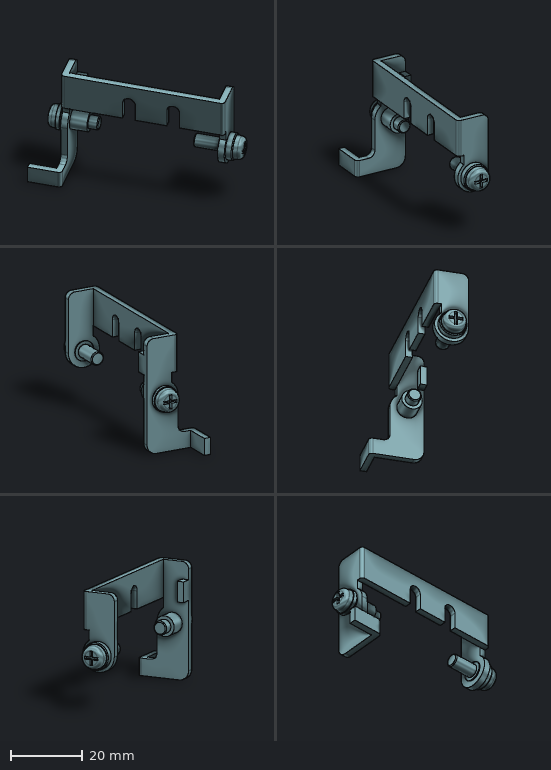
import cadquery as cq
import math


thickness = 2.0
bend_radius = 1.0
bracket_width = 48.0
bracket_depth = 10.0
bar_height = 11.1
left_plate_height = 34.4
top_corner_radius = 2.0
bottom_corner_radius = 3.0

foot_height = 5.1
foot_reach = 8.0
foot_front_y = -6.0
foot_blend_radius = 2.0

tab_length = 3.1
tab_height = 6.0

slot_width = 3.7
slot_top_z = -4.0
slot_centers_x = (20.0, 33.0)

axis_y = bracket_depth / 2
axis_z = -18.0
boss_radius = bracket_depth / 2
notch_depth = 2.0
thread_diameter = 4.0
thread_chamfer = 0.3
left_tip_x = 10.0
right_tip_x = 38.0
head_gap = 2.0
head_length = 2.6
head_rim_length = 1.3
head_seat_diameter = 7.1
head_rim_diameter = 6.8
head_flat_diameter = 4.1
dome_bulge = 0.7
recess_width = 0.8
recess_depth = 1.2

collar_diameter = 6.0
left_washer_diameter = 7.6
left_washer_thickness = 1.15
left_collar_end_x = 7.1
right_washer_diameter = 8.0
right_washer_chamfer = 0.3
right_collar_overhang = 0.3
right_collar_end_x = bracket_width - thickness - right_collar_overhang


def box(x0, x1, y0, y1, z0, z1):
    return cq.Workplane("XY").box(x1 - x0, y1 - y0, z1 - z0, centered=False).translate((x0, y0, z0))


def rod(x0, x1, diameter):
    """Cylinder on the screw axis between two X positions."""
    plane = cq.Workplane("YZ", origin=(x0, axis_y, axis_z))
    return plane.circle(diameter / 2).extrude(x1 - x0)


def side_plate_front():
    """Outline in Y and Z shared by both side plates, from the rear top to the boss."""
    notch_end_z = axis_z + math.sqrt(boss_radius**2 - (axis_y - notch_depth) ** 2)
    mid_angle = math.pi - math.atan2(notch_end_z - axis_z, axis_y - notch_depth) / 2
    arc_mid = (
        axis_y + boss_radius * math.cos(mid_angle),
        axis_z + boss_radius * math.sin(mid_angle),
    )
    return (
        cq.Workplane("YZ")
        .moveTo(bracket_depth, -top_corner_radius)
        .radiusArc((bracket_depth - top_corner_radius, 0), -top_corner_radius)
        .lineTo(0, 0)
        .lineTo(0, -bar_height)
        .lineTo(notch_depth, -bar_height)
        .lineTo(notch_depth, notch_end_z)
        .threePointArc(arc_mid, (0, axis_z))
    )


def left_plate():
    foot_top_z = foot_height - left_plate_height
    plate = (
        side_plate_front()
        .lineTo(0, foot_top_z + foot_blend_radius)
        .radiusArc((-foot_blend_radius, foot_top_z), foot_blend_radius)
        .lineTo(foot_front_y, foot_top_z)
        .lineTo(foot_front_y, -left_plate_height)
        .lineTo(bracket_depth - bottom_corner_radius, -left_plate_height)
        .radiusArc((bracket_depth, bottom_corner_radius - left_plate_height), -bottom_corner_radius)
        .close()
        .extrude(thickness)
    )
    foot = box(-foot_reach, thickness, foot_front_y, foot_front_y + thickness,
               -left_plate_height, foot_top_z)
    tab = box(thickness, thickness + tab_length, bracket_depth - thickness, bracket_depth,
              -bar_height, tab_height - bar_height)
    return plate.union(foot).union(tab)


def right_plate():
    plate = (
        side_plate_front()
        .threePointArc((axis_y, axis_z - boss_radius), (bracket_depth, axis_z))
        .close()
        .extrude(thickness)
    )
    return plate.translate((bracket_width - thickness, 0, 0))


def slotted_bar():
    bar = box(0, bracket_width, 0, thickness, -bar_height, 0)
    arc_center_z = slot_top_z - slot_width / 2
    for x in slot_centers_x:
        half = slot_width / 2
        slot = (
            cq.Workplane("XZ")
            .moveTo(x - half, -bar_height)
            .lineTo(x - half, arc_center_z)
            .threePointArc((x, slot_top_z), (x + half, arc_center_z))
            .lineTo(x + half, -bar_height)
            .close()
            .extrude(-thickness)
        )
        bar = bar.cut(slot)
    return bar


def bracket():
    body = left_plate().union(slotted_bar()).union(right_plate())
    bend_edge_points = (
        (0, 0, -bar_height / 2),
        (bracket_width, 0, -bar_height / 2),
        (thickness, foot_front_y, foot_height / 2 - left_plate_height),
    )
    for point in bend_edge_points:
        body = body.edges(cq.selectors.NearestToPointSelector(point)).fillet(bend_radius)
    return body


def screw_head():
    """Domed head with a cross recess, seated at X = 0 and facing -X."""
    seat = head_seat_diameter / 2
    rim = head_rim_diameter / 2
    flat = head_flat_diameter / 2
    dome_length = head_length - head_rim_length
    dome_mid = (-head_rim_length - dome_bulge * dome_length, flat + dome_bulge * (rim - flat))
    head = (
        cq.Workplane("XY")
        .lineTo(0, seat)
        .lineTo(-head_rim_length, rim)
        .threePointArc(dome_mid, (-head_length, flat))
        .lineTo(-head_length, 0)
        .close()
        .revolve(360, (0, 0, 0), (1, 0, 0))
    )
    for width, height in ((recess_width, head_flat_diameter), (head_flat_diameter, recess_width)):
        arm = cq.Workplane("YZ", origin=(-head_length, 0, 0)).rect(width, height).extrude(recess_depth)
        head = head.cut(arm)
    return head


def left_screw():
    washer_end_x = left_washer_thickness - head_gap
    head = screw_head().translate((-head_gap, axis_y, axis_z))
    washer = rod(-head_gap, washer_end_x, left_washer_diameter)
    collar = rod(washer_end_x, left_collar_end_x, collar_diameter)
    thread = rod(-head_gap, left_tip_x, thread_diameter).faces(">X").chamfer(thread_chamfer)
    return head.union(washer).union(collar).union(thread)


def right_screw():
    seat_x = bracket_width + head_gap
    head = screw_head().rotate((0, 0, 0), (0, 0, 1), 180).translate((seat_x, axis_y, axis_z))
    washer = rod(bracket_width, seat_x, right_washer_diameter).faces(">X").chamfer(right_washer_chamfer)
    collar = rod(right_collar_end_x, bracket_width, collar_diameter)
    thread = rod(right_tip_x, seat_x, thread_diameter).faces("<X").chamfer(thread_chamfer)
    return head.union(washer).union(collar).union(thread)


result = bracket().union(left_screw()).union(right_screw())